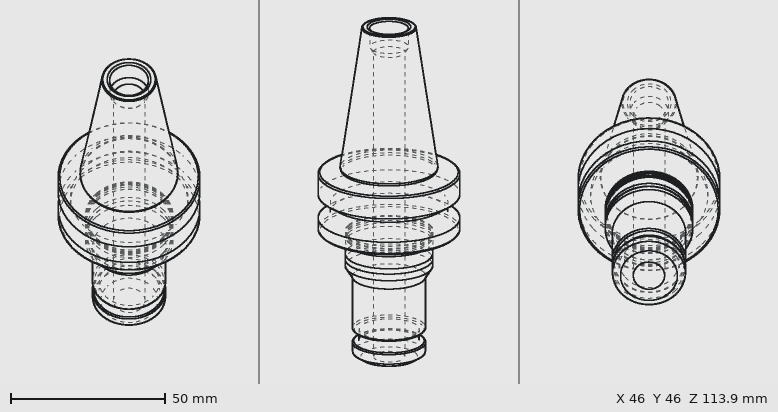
import cadquery as cq

total_height = 113.9
flange_diameter = 46.0
edge_break = 0.6
small_fillet = 0.3

gauge_diameter = 31.8
gauge_height = 65.5
taper_ratio = 7 / 24
shank_tip_chamfer = 0.3
shank_relief_diameter = 31.2
shank_relief_top = 64.7
shank_root_fillet = 0.7

flange_top = 63.7
flange_bottom = 43.5
groove_diameter = 38.0
groove_upper_edge = 56.0
groove_floor_top = 53.4
groove_floor_bottom = 50.0
groove_lower_edge = 48.0
groove_root_radius = 0.6

collar_diameter = 28.5
collar_groove_depth = 0.5
collar_groove_lip = 0.2
collar_grooves = [(flange_bottom, 42.4, 0.2), (41.8, 39.8, 0.7), (35.5, 33.7, 0.2)]
collar_bottom = 31.4

body_diameter = 23.8
body_top = 27.7
body_bottom = 9.5
neck_diameter = 19.5
button_top = 5.5
button_edge_break = 0.5
button_rim_bottom = 2.5
button_bevel_top = 1.7
button_rim_inset = 0.1
button_face_diameter = 18.5

bore_diameter = 10.1
socket_diameter = 12.5
socket_mouth_diameter = 14.1
socket_mouth_height = 0.5
socket_depth = 6.8
socket_cone_height = 1.8


def outer_half_profile():
    """Half section of the solid outside, traced from the top down."""
    tip_radius = (gauge_diameter - taper_ratio * (total_height - gauge_height)) / 2
    gauge_radius = gauge_diameter / 2
    relief_radius = shank_relief_diameter / 2
    flange_radius = flange_diameter / 2
    groove_radius = groove_diameter / 2
    groove_wall_slope = (groove_floor_bottom - groove_lower_edge) / (flange_radius - groove_radius)
    groove_wall_start = groove_floor_bottom - small_fillet * groove_wall_slope
    collar_radius = collar_diameter / 2
    body_radius = body_diameter / 2
    neck_radius = neck_diameter / 2

    profile = (
        cq.Workplane("XZ")
        .moveTo(0, total_height)
        .lineTo(tip_radius - shank_tip_chamfer, total_height)
        .lineTo(tip_radius, total_height - shank_tip_chamfer)
        .lineTo(gauge_radius, gauge_height)
        .lineTo(relief_radius, shank_relief_top)
        .lineTo(relief_radius, flange_top + shank_root_fillet)
        .radiusArc((relief_radius + shank_root_fillet, flange_top), -shank_root_fillet)
        .lineTo(flange_radius - edge_break, flange_top)
        .lineTo(flange_radius, flange_top - edge_break)
        .lineTo(flange_radius, groove_upper_edge)
        .lineTo(groove_radius, groove_floor_top)
        .lineTo(groove_radius, groove_floor_bottom + small_fillet)
        .radiusArc((groove_radius + small_fillet, groove_wall_start), -groove_root_radius)
        .lineTo(flange_radius, groove_lower_edge)
        .lineTo(flange_radius, flange_bottom + edge_break)
        .lineTo(flange_radius - edge_break, flange_bottom)
    )
    for upper_edge, lower_edge, upper_lip_height in collar_grooves:
        arc_top = upper_edge - upper_lip_height
        arc_bottom = lower_edge + collar_groove_lip
        profile = (
            profile.lineTo(collar_radius, upper_edge)
            .lineTo(collar_radius - collar_groove_lip, arc_top)
            .threePointArc(
                (collar_radius - collar_groove_depth, (arc_top + arc_bottom) / 2),
                (collar_radius - collar_groove_lip, arc_bottom),
            )
            .lineTo(collar_radius, lower_edge)
        )
    return (
        profile.lineTo(collar_radius, collar_bottom)
        .lineTo(body_radius, body_top)
        .lineTo(body_radius, body_bottom + edge_break)
        .lineTo(body_radius - edge_break, body_bottom)
        .lineTo(neck_radius, body_bottom)
        .lineTo(neck_radius, button_top + small_fillet)
        .radiusArc((neck_radius + small_fillet, button_top), -small_fillet)
        .lineTo(body_radius - button_edge_break, button_top)
        .lineTo(body_radius, button_top - button_edge_break)
        .lineTo(body_radius, button_rim_bottom)
        .lineTo(body_radius - button_rim_inset, button_bevel_top)
        .lineTo(button_face_diameter / 2, 0)
        .lineTo(0, 0)
        .close()
    )


def bore_half_profile():
    """Half section of the through bore with its chamfered, cone-bottomed socket."""
    socket_radius = socket_diameter / 2
    mouth_radius = socket_mouth_diameter / 2
    socket_bottom = total_height - socket_depth
    return (
        cq.Workplane("XZ")
        .moveTo(0, total_height)
        .lineTo(mouth_radius, total_height)
        .lineTo(socket_radius, total_height - socket_mouth_height)
        .lineTo(socket_radius, socket_bottom)
        .lineTo(bore_diameter / 2, socket_bottom - socket_cone_height)
        .lineTo(bore_diameter / 2, 0)
        .lineTo(0, 0)
        .close()
    )


def turned(profile):
    """Revolve a half section once around the Z axis."""
    return profile.revolve(360, (0, 0, 0), (0, 1, 0))


result = turned(outer_half_profile()).cut(turned(bore_half_profile()))